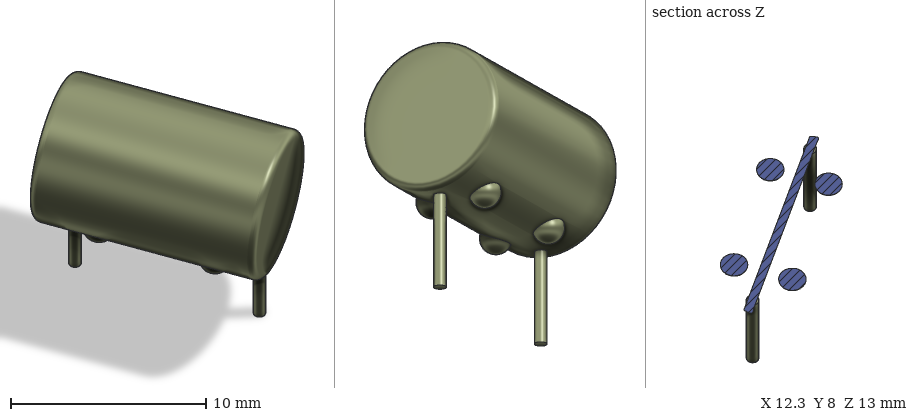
import cadquery as cq

body_length = 12.28
body_diameter = 8.0
edge_radius = 0.4
overall_height = 13.0
lead_diameter = 0.65
lead_spacing = 10.0
foot_radius = 0.85
foot_spacing_x = 6.29
foot_spacing_y = 3.12
foot_depth = 3.54

body_radius = body_diameter / 2
lead_tip_z = body_radius - overall_height


def make_housing():
    """Round body lying along X, with rounded ends and four domed standoff feet."""
    barrel = (
        cq.Workplane("YZ", origin=(-body_length / 2, 0, 0))
        .circle(body_radius)
        .extrude(body_length)
        .edges("%CIRCLE")
        .fillet(edge_radius)
    )
    feet = (
        cq.Workplane("XY", origin=(0, 0, -foot_depth))
        .rarray(foot_spacing_x, foot_spacing_y, 2, 2)
        .sphere(foot_radius, combine=False)
    )
    return barrel.union(feet).solids()


def make_lead(x):
    """Vertical wire whose top end is shaped to sit against the underside of the body."""
    wire = (
        cq.Workplane("XY", origin=(x, 0, lead_tip_z))
        .circle(lead_diameter / 2)
        .extrude(-foot_depth - lead_tip_z)
    )
    return wire.cut(housing).solids()


housing = make_housing()
leads = [make_lead(side * lead_spacing / 2) for side in (-1, 1)]

result = cq.Compound.makeCompound([housing.val(), *[lead.val() for lead in leads]])